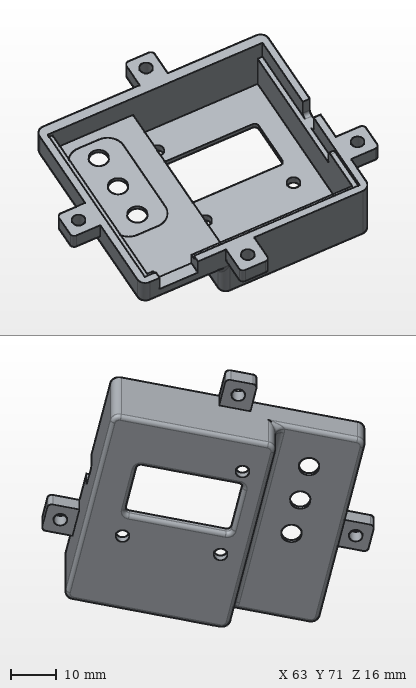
import cadquery as cq

BODY_X = 49.0
BODY_Y = 57.0
DEEP_HEIGHT = 16.0
SHELF_HEIGHT = 6.95
DEEP_LENGTH = 37.0
CORNER_RADIUS = 2.0
STEP_RADIUS = 2.0
BOTTOM_RADIUS = 1.0

WALL = 3.0
LEFT_WALL = 2.5
DEEP_FLOOR = 2.0
SHELF_FLOOR = 1.0

RIM_WALL = 1.8
LEDGE_DEPTH = 1.0

RECESS_DEPTH = 5.0
RECESS_END_X = 10.5
RECESS_RADIUS = 1.0

BACK_NOTCH_WIDTH = 5.0
BACK_NOTCH_X = -1.0
BACK_NOTCH_RADIUS = 1.0
RIGHT_NOTCH_LENGTH = 9.5
RIGHT_NOTCH_Y = -19.25
RIGHT_NOTCH_DEPTH = 4.0

TAB_WIDTH = 7.0
OVERALL_Y = 71.0
TAB_REACH = (OVERALL_Y - BODY_Y) / 2
TAB_HEIGHT = 4.0
TAB_RADIUS = 1.0
SCREW_DIAMETER = 3.0
SCREW_INSET = 3.5
BACK_TAB_X = 12.0
FRONT_TAB_X = 2.0
LEFT_TAB_Y = 1.0
RIGHT_TAB_Y = -4.0

WINDOW_X = 12.85
WINDOW_Y = 23.7
WINDOW_CENTER = (-6.3, 8.4)
WINDOW_RADIUS = 1.0
BOARD_PITCH = 22.0
BOARD_CORNER = (5.75, -2.55)

BUTTON_DIAMETER = 4.5
BUTTON_PITCH = 8.9
BUTTON_CENTER = (-6.25, -17.75)
PANEL_X = 27.2
PANEL_Y = 13.1
PANEL_CENTER = (-5.95, -17.9)
PANEL_RADIUS = 4.0
PANEL_DEPTH = 0.1

RIGHT = BODY_X / 2
LEFT = -RIGHT
BACK = BODY_Y / 2
FRONT = -BACK
STEP_Y = BACK - DEEP_LENGTH
INNER_LEFT = LEFT + LEFT_WALL
CLEARANCE = 0.7


def block(x_range, y_range, z_range):
    """Box spanning the given ranges."""
    size = [high - low for low, high in (x_range, y_range, z_range)]
    corner = (x_range[0], y_range[0], z_range[0])
    return cq.Workplane("XY").box(*size, centered=False).translate(corner)


def step_profile(left_y, right_y, step_y, shelf_z, deep_z):
    """Side outline, in Y and Z, of a deep box with a shallow shelf in front."""
    points = [
        (left_y, 0),
        (right_y, 0),
        (right_y, deep_z),
        (step_y, deep_z),
        (step_y, shelf_z),
        (left_y, shelf_z),
    ]
    return cq.Workplane("YZ").polyline(points).close()


def make_shell():
    shell = step_profile(FRONT, BACK, STEP_Y, -SHELF_HEIGHT, -DEEP_HEIGHT).extrude(RIGHT, both=True)
    shell = shell.edges("|Z").fillet(CORNER_RADIUS)
    shell = shell.faces("<Z").edges().fillet(BOTTOM_RADIUS)
    shelf_bounds = cq.selectors.BoxSelector(
        (LEFT - CLEARANCE, FRONT - CLEARANCE, -SHELF_HEIGHT - CLEARANCE),
        (RIGHT + CLEARANCE, STEP_Y - CLEARANCE, -SHELF_HEIGHT + CLEARANCE),
    )
    shell = shell.edges(shelf_bounds).fillet(BOTTOM_RADIUS)
    step_edge = cq.selectors.NearestToPointSelector((0, STEP_Y, -SHELF_HEIGHT))
    return shell.edges(step_edge).fillet(STEP_RADIUS)


def make_cavity():
    cavity = step_profile(
        FRONT + WALL, BACK - WALL, STEP_Y + WALL, SHELF_FLOOR - SHELF_HEIGHT, DEEP_FLOOR - DEEP_HEIGHT
    )
    return cavity.extrude(BODY_X - LEFT_WALL - WALL).translate((INNER_LEFT, 0, 0))


def make_ledge():
    return block(
        (INNER_LEFT, RIGHT - RIM_WALL), (FRONT + RIM_WALL, BACK - RIM_WALL), (-LEDGE_DEPTH, CLEARANCE)
    )


def make_recess():
    """Recess whose right end rounds over onto the ledge."""
    round_end = RECESS_END_X + RECESS_RADIUS
    return (
        cq.Workplane("XZ", origin=(0, BACK - RIM_WALL, 0))
        .moveTo(INNER_LEFT, -RECESS_DEPTH)
        .lineTo(RECESS_END_X, -RECESS_DEPTH)
        .lineTo(RECESS_END_X, -LEDGE_DEPTH - RECESS_RADIUS)
        .radiusArc((round_end, -LEDGE_DEPTH), RECESS_RADIUS)
        .lineTo(INNER_LEFT, -LEDGE_DEPTH)
        .close()
        .extrude(WALL - RIM_WALL)
    )


def make_back_notch():
    half = BACK_NOTCH_WIDTH / 2
    notch = block(
        (BACK_NOTCH_X - half, BACK_NOTCH_X + half),
        (BACK - RIM_WALL, BACK + CLEARANCE),
        (-RECESS_DEPTH, CLEARANCE),
    )
    return notch.edges("|Y and <Z").fillet(BACK_NOTCH_RADIUS)


def make_right_notch():
    half = RIGHT_NOTCH_LENGTH / 2
    return block(
        (RIGHT - WALL, RIGHT + CLEARANCE),
        (RIGHT_NOTCH_Y - half, RIGHT_NOTCH_Y + half),
        (-RIGHT_NOTCH_DEPTH, CLEARANCE),
    )


def make_tab(x, y, angle):
    """Tab that leaves the wall at (x, y) and points along the given angle from +X."""
    tab = block((-RIM_WALL, TAB_REACH), (-TAB_WIDTH / 2, TAB_WIDTH / 2), (-TAB_HEIGHT, 0))
    tab = tab.edges("|Z and >X").fillet(TAB_RADIUS)
    screw = cq.Workplane("XY").center(TAB_REACH - SCREW_INSET, 0).circle(SCREW_DIAMETER / 2)
    tab = tab.cut(screw.extrude(-TAB_HEIGHT))
    return tab.rotate((0, 0, 0), (0, 0, 1), angle).translate((x, y, 0))


def make_window():
    window = cq.Workplane("XY").center(*WINDOW_CENTER).rect(WINDOW_X, WINDOW_Y).extrude(-DEEP_HEIGHT)
    return window.edges("|Z").fillet(WINDOW_RADIUS)


def make_holes(points, diameter):
    return cq.Workplane("XY").pushPoints(points).circle(diameter / 2).extrude(-DEEP_HEIGHT)


def make_button_panel():
    panel = cq.Workplane("XY").workplane(offset=SHELF_FLOOR - SHELF_HEIGHT).center(*PANEL_CENTER)
    panel = panel.rect(PANEL_X, PANEL_Y).extrude(-PANEL_DEPTH)
    return panel.edges("|Z").fillet(PANEL_RADIUS)


board_x, board_y = BOARD_CORNER
board_points = [
    (board_x, board_y),
    (board_x - BOARD_PITCH, board_y),
    (board_x, board_y + BOARD_PITCH),
]
button_x, button_y = BUTTON_CENTER
button_points = [(button_x + i * BUTTON_PITCH, button_y) for i in (-1, 0, 1)]

result = make_shell()
cuts = [
    make_cavity(),
    make_ledge(),
    make_recess(),
    make_back_notch(),
    make_right_notch(),
    make_window(),
    make_holes(board_points, SCREW_DIAMETER),
    make_holes(button_points, BUTTON_DIAMETER),
    make_button_panel(),
]
for cut in cuts:
    result = result.cut(cut)

window_x, window_y = WINDOW_CENTER
rim_edge = cq.selectors.NearestToPointSelector((window_x + WINDOW_X / 2, window_y, -DEEP_HEIGHT))
result = result.edges(rim_edge).fillet(BOTTOM_RADIUS)

tabs = [
    make_tab(RIGHT, RIGHT_TAB_Y, 0),
    make_tab(BACK_TAB_X, BACK, 90),
    make_tab(LEFT, LEFT_TAB_Y, 180),
    make_tab(FRONT_TAB_X, FRONT, 270),
]
for tab in tabs:
    result = result.union(tab)